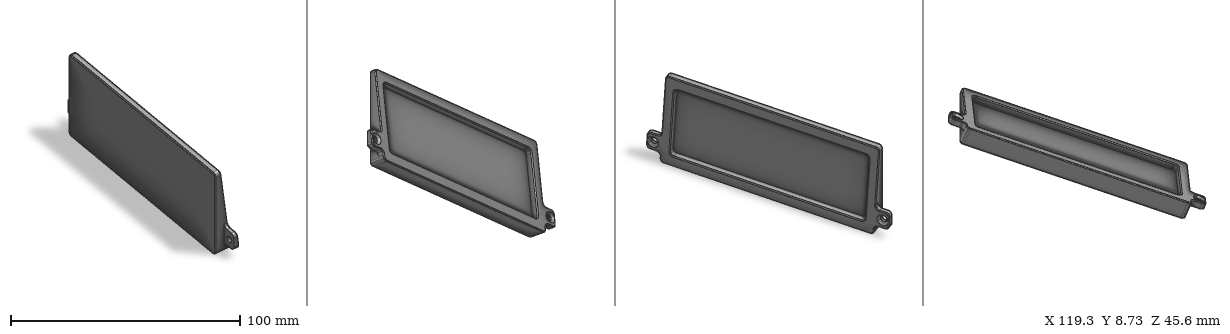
import math

import cadquery as cq

LENGTH = 105.3
HEIGHT = 45.6
MAX_THICKNESS = 8.73
BACK_TILT = 6.85
CORNER_RADIUS = 2.0
FRONT_CHAMFER = 0.5
BACK_CHAMFER = 0.45

EAR_REACH = 7.0
EAR_BOTTOM = 4.9
EAR_TOP = 13.6
EAR_FRONT = 5.0
EAR_CORNER_RADIUS = 2.0
EAR_ROOT_RADIUS = 2.0
EAR_OVERLAP = 2.0
EAR_HOLE_DIAMETER = 3.2
EAR_HOLE_INSET = 3.2
EAR_COUNTERSINK_DIAMETER = 5.5

POCKET_LENGTH = 96.0
POCKET_HEIGHT = 35.0
POCKET_DEPTH = 3.2
POCKET_CORNER_RADIUS = 2.0
POCKET_CHAMFER = 0.5

TILT_SIN = math.sin(math.radians(BACK_TILT))
TILT_COS = math.cos(math.radians(BACK_TILT))
BACK_SLOPE = TILT_SIN / TILT_COS
BACK_NORMAL = cq.Vector(0, TILT_COS, TILT_SIN)

BOTTOM_THICKNESS = MAX_THICKNESS + BACK_CHAMFER * TILT_SIN
TOP_THICKNESS = BOTTOM_THICKNESS - HEIGHT * BACK_SLOPE


def plate_blank():
    """Plate of even thickness with rounded corners and a chamfered front."""
    plate = cq.Workplane("XY").box(LENGTH, BOTTOM_THICKNESS, HEIGHT, centered=(True, False, False))
    return plate.edges("|Y").fillet(CORNER_RADIUS).faces("<Y").chamfer(FRONT_CHAMFER)


def right_ear_blank():
    """Ear with rounded outer corners and a flared root that reaches into the plate."""
    root = LENGTH / 2
    tip = root + EAR_REACH
    inner = root - EAR_OVERLAP
    flare = EAR_ROOT_RADIUS
    corner = EAR_CORNER_RADIUS
    outline = (
        cq.Workplane("XZ", origin=(0, EAR_FRONT, 0))
        .moveTo(inner, EAR_BOTTOM - flare)
        .lineTo(root, EAR_BOTTOM - flare)
        .radiusArc((root + flare, EAR_BOTTOM), flare)
        .lineTo(tip - corner, EAR_BOTTOM)
        .radiusArc((tip, EAR_BOTTOM + corner), -corner)
        .lineTo(tip, EAR_TOP - corner)
        .radiusArc((tip - corner, EAR_TOP), -corner)
        .lineTo(root + flare, EAR_TOP)
        .radiusArc((root, EAR_TOP + flare), flare)
        .lineTo(inner, EAR_TOP + flare)
        .close()
    )
    return outline.extrude(EAR_FRONT - BOTTOM_THICKNESS)


def wedge():
    """Solid in front of the sloping back plane, wide enough for plate and ears."""
    half_width = LENGTH / 2 + EAR_REACH
    profile = [(0, 0), (BOTTOM_THICKNESS, 0), (TOP_THICKNESS, HEIGHT), (0, HEIGHT)]
    return cq.Workplane("YZ").polyline(profile).close().extrude(half_width, both=True)


def cut_ear_holes(body):
    """Through holes along Y with a 45 degree countersink square to the sloping back."""
    hole_x = LENGTH / 2 + EAR_REACH - EAR_HOLE_INSET
    hole_z = (EAR_BOTTOM + EAR_TOP) / 2
    back_y = BOTTOM_THICKNESS - hole_z * BACK_SLOPE
    hole_radius = EAR_HOLE_DIAMETER / 2
    sink_radius = EAR_COUNTERSINK_DIAMETER / 2
    along_y = cq.Vector(0, 1, 0)
    for x in (-hole_x, hole_x):
        centre = cq.Vector(x, back_y, hole_z)
        hole = cq.Solid.makeCylinder(hole_radius, BOTTOM_THICKNESS, cq.Vector(x, 0, hole_z), along_y)
        sink = cq.Solid.makeCone(sink_radius, 0, sink_radius, centre, -BACK_NORMAL)
        body = body.cut(cq.Workplane(hole)).cut(cq.Workplane(sink))
    return body


def cut_pocket(body):
    """Pocket with a chamfered rim."""
    back_centre = (0, (BOTTOM_THICKNESS + TOP_THICKNESS) / 2, HEIGHT / 2)
    back = cq.Plane(origin=back_centre, xDir=(1, 0, 0), normal=BACK_NORMAL.toTuple())
    outline = cq.Sketch().rect(POCKET_LENGTH, POCKET_HEIGHT).vertices().fillet(POCKET_CORNER_RADIUS)
    pocket = cq.Workplane(back).placeSketch(outline).extrude(-POCKET_DEPTH)
    rim_outline = cq.Sketch().rect(POCKET_LENGTH + 2 * POCKET_CHAMFER, POCKET_HEIGHT + 2 * POCKET_CHAMFER)
    rim_outline = rim_outline.vertices().fillet(POCKET_CORNER_RADIUS + POCKET_CHAMFER)
    rim = cq.Workplane(back).placeSketch(rim_outline).extrude(-POCKET_CHAMFER, taper=45)
    return body.cut(pocket).cut(rim)


right_ear = right_ear_blank()
body = plate_blank().union(right_ear).union(right_ear.mirror("YZ"))
body = body.intersect(wedge())

body = body.faces(cq.selectors.DirectionMinMaxSelector(BACK_NORMAL)).chamfer(BACK_CHAMFER)

body = cut_ear_holes(body)
result = cut_pocket(body)